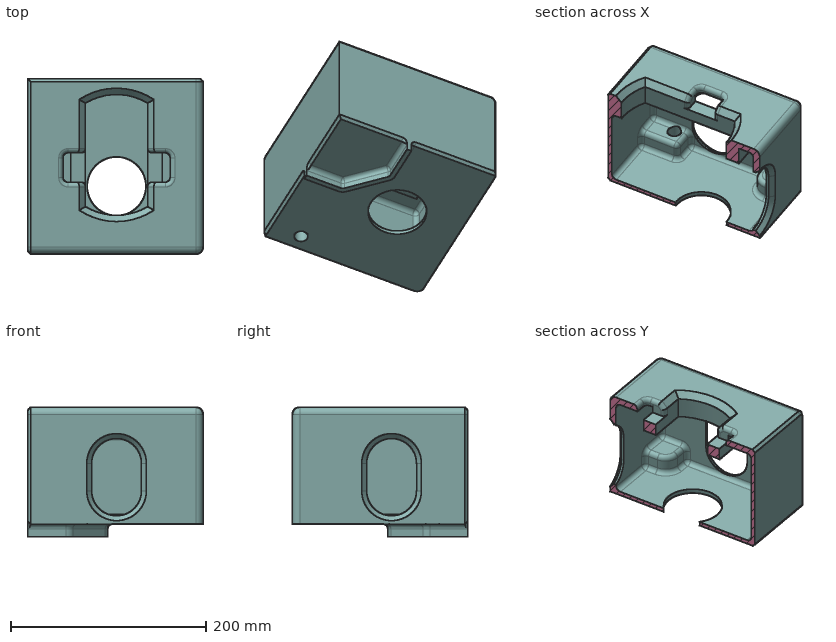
import cadquery as cq
import math

side = 180.0
body_height = 120.0
weld_chamfer = 3.0
outer_round = 7.5

wall = 8.0
thin_wall = 5.0
inner_round = 5.0
cavity_x_max = side - wall
cavity_y_max = side - thin_wall

centre_x = 91.0
centre_y = 101.9
opening_width = 63.7
opening_radius = 62.0
opening_chamfer = 6.5
lip_depth = 28.5
lip_width = 15.1
notch_length = 109.8
notch_width = 30.0
notch_y = 89.0
notch_depth = 15.0
notch_round = 5.0
notch_rim_round = 4.7

window_width = 51.1
window_height = 79.2
window_z = 48.2
window_chamfer = 5.0

floor_hole_radius = 30.0
floor_hole_y = 69.7
rear_boss_width = 25.0
boss_top = 25.0
rear_boss_length = 45.0
front_boss_size = 31.0
front_boss_round = 15.0
screw_radius = 7.0
screw_x = 164.0
screw_y = 144.0

rib_reach = 82.0
rib_corner = 43.0
rib_depth = 13.0
rib_thickness = 5.0
rib_bend_radius = 10.0
root_round = 4.9
rib_run_out = 10.8
rib_pad_height = 18.0

tolerance = 0.02


def box(x_min, x_max, y_min, y_max, z_min, z_max):
    size = (x_max - x_min, y_max - y_min, z_max - z_min)
    return cq.Workplane("XY").box(*size, centered=False).translate((x_min, y_min, z_min))


def make_body():
    body = box(0, side, 0, side, 0, body_height)
    body = body.edges("(>X and >Z) or (<Y and >Z) or (>X and <Y)").fillet(outer_round)
    body = body.edges("<X").edges("|Y or <Y").chamfer(weld_chamfer)
    return body.edges(">Y").edges("|X or >X").chamfer(weld_chamfer)


def rib_prism(setback, bend_radius):
    """Prism between the rib line, set back by the given distance, and the -X and +Y faces."""
    reach = rib_reach - setback
    corner = rib_corner - setback * math.tan(math.pi / 8)
    outline = [
        (-rib_run_out, side - reach),
        (corner, side - reach),
        (reach, side - corner),
        (reach, side + rib_run_out),
        (-rib_run_out, side + rib_run_out),
    ]
    prism = cq.Workplane("XY").workplane(offset=-rib_depth).polyline(outline).close()
    prism = prism.extrude(rib_depth + rib_pad_height)
    bends = cq.selectors.BoxSelector((0, 0, -side), (side, side, side))
    return prism.edges("|Z").edges(bends).fillet(bend_radius)


def make_rib():
    """Rib with a rounded root along the underside and the two bottom chamfers."""
    strip = rib_prism(0, rib_bend_radius).cut(rib_prism(rib_thickness, rib_bend_radius - rib_thickness))
    pad_reach = rib_reach + 2 * rib_thickness
    pad = box(-rib_run_out, pad_reach, side - pad_reach, side + rib_run_out, 0, rib_pad_height)
    pad = pad.edges("<Z and (<X or >Y)").chamfer(rib_run_out + weld_chamfer)
    rib = pad.union(strip)

    def is_root(edge):
        middle = edge.positionAt(0.5)
        inside_x = middle.x > -rib_run_out + tolerance
        inside_y = middle.y < side + rib_run_out - tolerance
        touches = strip.val().distance(cq.Vertex.makeVertex(*middle.toTuple())) < tolerance
        return middle.z > -tolerance and inside_x and inside_y and touches

    rib = rib.newObject([edge for edge in rib.edges().vals() if is_root(edge)]).fillet(root_round)
    return rib.intersect(box(0, side, 0, side, -rib_depth, thin_wall))


def make_cavity():
    cavity = box(thin_wall, cavity_x_max, wall, cavity_y_max, thin_wall, body_height - wall)

    rear_x = cavity_x_max - rear_boss_width
    rear_y = cavity_y_max - rear_boss_length
    cavity = cavity.cut(box(rear_x, cavity_x_max, rear_y, cavity_y_max, thin_wall, boss_top))

    front_x = cavity_x_max - front_boss_size
    front_y = wall + front_boss_size
    front_boss = box(front_x, cavity_x_max, wall, front_y, thin_wall, boss_top)
    cavity = cavity.cut(front_boss.edges("|Z and <X and >Y").fillet(front_boss_round))
    cavity = cavity.edges().fillet(inner_round)

    half_lip = opening_width / 2 + lip_width
    lip_y_min = centre_y - opening_radius - lip_width
    lip_bottom = body_height - lip_depth
    lip = box(centre_x - half_lip, centre_x + half_lip, lip_y_min, cavity_y_max, lip_bottom, body_height)
    cavity = cavity.cut(lip)
    lip_root = cq.selectors.NearestToPointSelector((centre_x, cavity_y_max, lip_bottom))
    return cavity.edges(lip_root).fillet(inner_round)


def opening_outline(plane, growth):
    """Circle cut off by two straight sides, offset outward by the given growth."""
    radius = opening_radius + growth
    half_width = opening_width / 2 + growth
    corner_y = math.sqrt(radius**2 - half_width**2)
    return (
        plane.moveTo(half_width, -corner_y)
        .lineTo(half_width, corner_y)
        .threePointArc((0, radius), (-half_width, corner_y))
        .lineTo(-half_width, -corner_y)
        .threePointArc((0, -radius), (half_width, -corner_y))
        .close()
    )


def cut_top_opening(part):
    top = cq.Workplane("XY", origin=(centre_x, centre_y, body_height))
    flare = opening_outline(top, opening_chamfer).workplane(offset=-opening_chamfer)
    flare = opening_outline(flare, 0).loft(ruled=True)
    part = part.cut(opening_outline(top, 0).extrude(-lip_depth)).cut(flare)

    notch_floor = body_height - notch_depth
    notch = cq.Workplane("XY", origin=(centre_x, notch_y, notch_floor)).rect(notch_length, notch_width)
    part = part.cut(notch.extrude(notch_depth).edges("|Z").fillet(notch_round))

    reach_x = opening_width / 2 + lip_width - tolerance
    reach_y = notch_width / 2 + tolerance
    rims = cq.selectors.BoxSelector(
        (centre_x - reach_x, notch_y - reach_y, notch_floor + tolerance),
        (centre_x + reach_x, notch_y + reach_y, body_height + tolerance),
    )
    return part.edges(rims).fillet(notch_rim_round)


def window_cutter(plane, centre):
    """Upright oval hole through a wall, chamfered on its outer face."""
    face = cq.Workplane(plane, origin=centre)
    rim_height = window_height + 2 * window_chamfer
    rim_width = window_width + 2 * window_chamfer
    flare = face.slot2D(rim_height, rim_width, 90).workplane(offset=-window_chamfer)
    flare = flare.slot2D(window_height, window_width, 90).loft(ruled=True)
    return face.slot2D(window_height, window_width, 90).extrude(-wall).union(flare)


def floor_hole(x, y, radius, depth):
    return cq.Workplane("XY", origin=(x, y, 0)).circle(radius).extrude(depth)


part = make_body().union(make_rib())
part = part.cut(make_cavity())
part = cut_top_opening(part)
part = part.cut(window_cutter("XZ", (centre_x, 0, window_z)))
part = part.cut(window_cutter("YZ", (side, centre_y, window_z)))
part = part.cut(floor_hole(centre_x, floor_hole_y, floor_hole_radius, thin_wall))
result = part.cut(floor_hole(screw_x, screw_y, screw_radius, boss_top + inner_round))